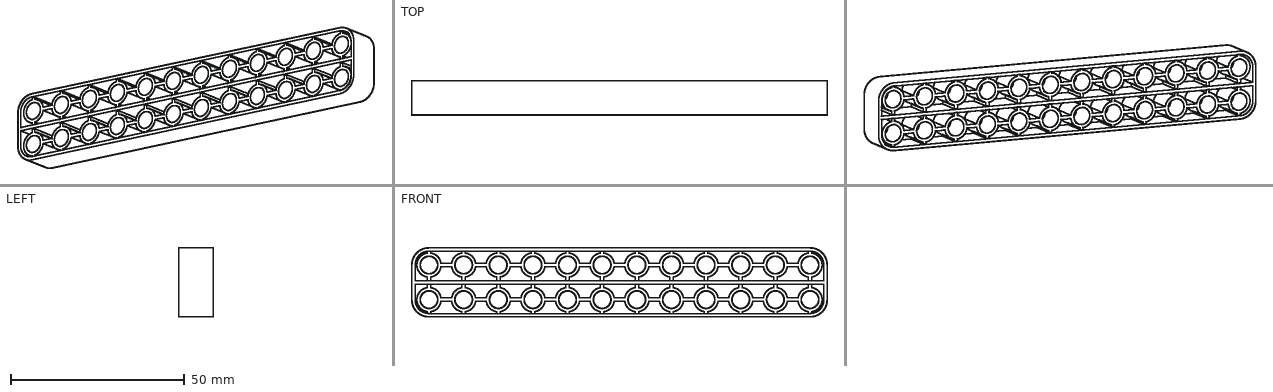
import cadquery as cq

pitch = 10.0
columns = 12
rows = 2
hole_diameter = 5.0
sleeve_diameter = 7.0

length = columns * pitch
height = rows * pitch
thickness = 10.0
corner_radius = pitch / 2
wall = 1.0
floor = 1.0
rib_width = 1.0
recess = 0.8

pocket_depth = thickness - floor
inner_depth = pocket_depth - recess
front_y = -thickness / 2
hole_centers = [
    ((column - (columns - 1) / 2) * pitch, (row - (rows - 1) / 2) * pitch)
    for column in range(columns)
    for row in range(rows)
]


def front_plane(setback=0.0):
    """Sketch plane parallel to the open -Y face and set back from it: local x = X, local y = Z."""
    return cq.Workplane("XZ", origin=(0, front_y + setback, 0))


def rounded_block(block_length, block_height, depth, radius):
    """Block running from the open face toward +Y, with its corners along Y rounded."""
    return (
        front_plane()
        .rect(block_length, block_height)
        .extrude(-depth)
        .edges("|Y")
        .fillet(radius)
    )


def inner_structure():
    """Recessed sleeves around the holes and the ribs that tie them to each other and to the walls."""
    sleeves = front_plane(recess).pushPoints(hole_centers).circle(sleeve_diameter / 2).extrude(-inner_depth)
    row_ribs = (
        front_plane(recess)
        .rarray(length, pitch, 1, rows)
        .rect((columns - 1) * pitch, rib_width)
        .extrude(-inner_depth)
    )
    column_ribs = (
        front_plane(recess)
        .rarray(pitch, height, columns, 1)
        .rect(rib_width, height - 2 * wall)
        .extrude(-inner_depth)
    )
    return sleeves.union(row_ribs).union(column_ribs)


body = rounded_block(length, height, thickness, corner_radius)
pocket = rounded_block(length - 2 * wall, height - 2 * wall, pocket_depth, corner_radius - wall)
middle_wall = front_plane().rect(length - 2 * wall, wall).extrude(-pocket_depth)
holes = front_plane().pushPoints(hole_centers).circle(hole_diameter / 2).extrude(-thickness)

result = body.cut(pocket).union(middle_wall).union(inner_structure()).cut(holes)